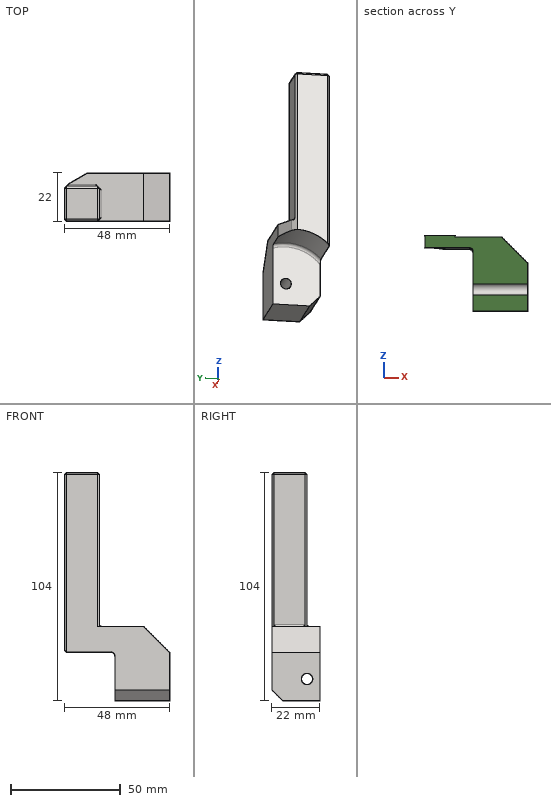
import cadquery as cq
import math

length = 48.0
depth = 22.0
height = 104.0

shank_side = 16.0
shank_chamfer = 1.0
root_fillet = 0.7

body_top = 34.0
body_slope = 12.0
bevel_angle = 30.0

foot_left = 23.0
foot_chamfer = 5.0

arch_radius = 22.0
arch_center_y = shank_side
arch_center_z = 7.0
arch_fillet = 1.5

hole_diameter = 5.0
hole_y = shank_side
hole_z = 10.0


def make_body():
    """Block with a beveled back left corner and chamfered left edges."""
    slope = math.tan(math.radians(bevel_angle))
    meeting_x = shank_chamfer / (1 - slope)
    meeting_y = shank_side + slope * meeting_x
    bevel_end_x = (depth - shank_side) / slope
    outline = [
        (shank_chamfer, 0),
        (length, 0),
        (length, depth),
        (bevel_end_x, depth),
        (meeting_x, meeting_y),
        (0, shank_side - shank_chamfer),
        (0, shank_chamfer),
    ]
    return cq.Workplane("XY").polyline(outline).close().extrude(body_top)


def cut_slope(body):
    """Slope the upper right edge of the body."""
    corner = (
        cq.Workplane("XZ")
        .moveTo(length - body_slope, body_top)
        .lineTo(length, body_top)
        .lineTo(length, body_top - body_slope)
        .close()
        .extrude(-depth)
    )
    return body.cut(corner)


def make_shank():
    """Square bar with its long edges, top edges and top corners chamfered."""
    return (
        cq.Workplane("XY")
        .box(shank_side, shank_side, height, centered=False)
        .edges("|Z or >Z")
        .chamfer(shank_chamfer)
    )


def make_root():
    """Rounded transition from the body top to the back and right sides of the shank."""
    base_side = shank_side + shank_chamfer
    stub_top = body_top + 2 * root_fillet
    base = cq.Workplane("XY").box(base_side, base_side, body_top, centered=False)
    stub = cq.Workplane("XY").box(shank_side, shank_side, stub_top, centered=False)
    root_edges = cq.selectors.BoxSelector(
        (shank_chamfer, shank_chamfer, body_top - root_fillet),
        (base_side, base_side, body_top + root_fillet),
    )
    root = base.union(stub).edges(root_edges).fillet(root_fillet)

    inset_side = shank_side - shank_chamfer
    half_side = shank_side / 2
    envelope = (
        cq.Workplane("XY")
        .polyline(
            [
                (shank_chamfer, 0),
                (inset_side, 0),
                (inset_side + half_side, half_side),
                (half_side, inset_side + half_side),
                (0, inset_side),
                (0, shank_chamfer),
            ]
        )
        .close()
        .extrude(stub_top)
    )
    return root.intersect(envelope)


def cut_arch(part):
    """Hollow the underside of the overhang, with a rounded corner at the foot."""
    cutter = (
        cq.Workplane("YZ")
        .center(arch_center_y, arch_center_z)
        .circle(arch_radius)
        .extrude(foot_left)
        .faces(">X")
        .edges()
        .fillet(arch_fillet)
    )
    return part.cut(cutter)


def cut_foot_chamfer(part):
    """Chamfer the lower front edge of the foot."""
    corner = (
        cq.Workplane("YZ")
        .moveTo(0, 0)
        .lineTo(foot_chamfer, 0)
        .lineTo(0, foot_chamfer)
        .close()
        .extrude(length)
    )
    return part.cut(corner)


def drill_hole(part):
    """Drill the pin hole through the foot."""
    drill = (
        cq.Workplane("YZ")
        .center(hole_y, hole_z)
        .circle(hole_diameter / 2)
        .extrude(length)
    )
    return part.cut(drill)


result = cut_slope(make_body())
result = result.union(make_shank()).union(make_root()).clean()
result = cut_arch(result)
result = cut_foot_chamfer(result)
result = drill_hole(result)